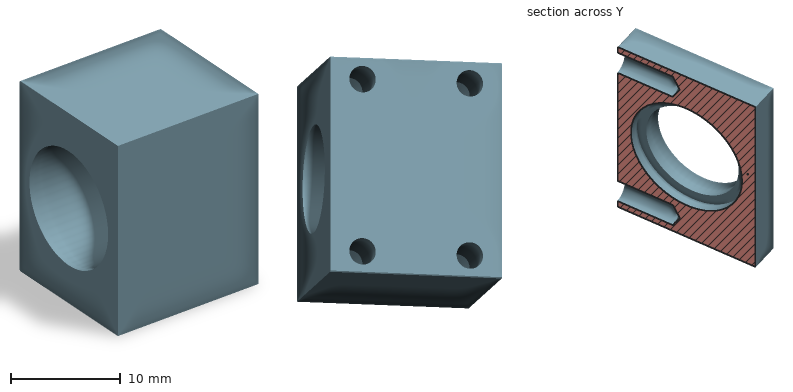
import cadquery as cq
import math

width = 15.0
depth = 16.0
height = 20.0
edge_chamfer = 0.1

bore_diameter = 12.0
lip_diameter = 10.0
lip_thickness = 2.0

hole_diameter = 2.45
hole_depth = 6.0
drill_point_angle = 118.0
hole_spacing_y = 10.0
hole_spacing_z = 16.0


def make_block():
    """Block with chamfered upper and lower edges on its -X face."""
    block = cq.Workplane("XY").box(width, depth, height)
    return block.faces("<X").edges("|Y").chamfer(edge_chamfer)


def make_stepped_bore():
    """Through hole with a wider bore that stops at the lip."""
    front = cq.Workplane("XZ", origin=(0, -depth / 2, 0))
    through_hole = front.circle(lip_diameter / 2).extrude(-depth)
    wide_bore = front.circle(bore_diameter / 2).extrude(-(depth - lip_thickness))
    return through_hole.union(wide_bore)


def make_drilled_hole(y, z):
    """Hole along +X from the -X face, ending in a conical drill point."""
    radius = hole_diameter / 2
    point_length = radius / math.tan(math.radians(drill_point_angle / 2))
    profile = (
        cq.Workplane("XY")
        .lineTo(0, radius)
        .lineTo(hole_depth, radius)
        .lineTo(hole_depth + point_length, 0)
        .close()
    )
    hole = profile.revolve(360, (0, 0, 0), (1, 0, 0))
    return hole.translate((-width / 2, y, z))


result = make_block().cut(make_stepped_bore())
for side_y in (-1, 1):
    for side_z in (-1, 1):
        hole = make_drilled_hole(side_y * hole_spacing_y / 2, side_z * hole_spacing_z / 2)
        result = result.cut(hole)